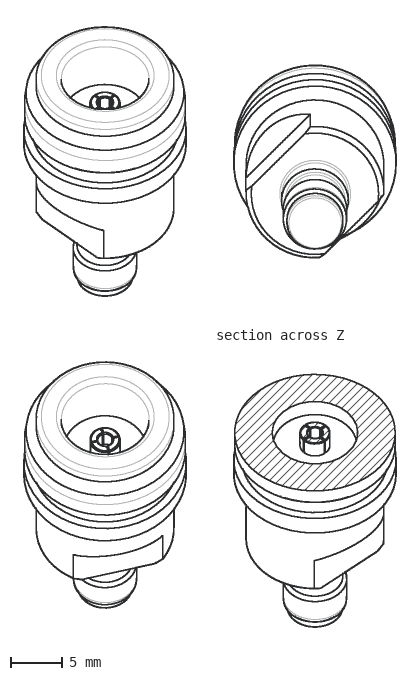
import cadquery as cq
import math

total_height = 28.78

tip_radius = 2.73
tip_rounding = 0.17
collar_radius = 3.1
collar_lip_radius = 3.08
collar_lip_z = 1.18
collar_cylinder_z = 1.6
collar_shoulder_z = 4.12
collar_bevel = collar_radius - tip_radius
shoulder_radius = 3.25
shoulder_bottom_z = 7.05
root_fillet = 0.2

body_radius = 6.73
body_bottom_z = 9.27
body_chamfer = 0.52
flat_half_width = 4.98
flat_top_z = 13.75
flat_runout_angle = 30

flange_radius = 15.85 / 2
flange_cone_z = 18.28
flange_bottom_z = 18.97
flange_top_z = 21.05
groove_radius = 7.15
head_radius = 7.85
head_groove_cone_z = 22.5
head_bottom_z = head_groove_cone_z + head_radius - groove_radius
head_taper_z = 25.05
head_shoulder_radius = 7.7
head_shoulder_z = 26.33
rim_bottom_z = 27.28
rim_rounding = 0.5

bore_mouth_radius = 4.3
bore_floor_radius = 4.1
bore_floor_z = 23.08
bore_mouth_rounding = 0.5

contact_radius = 1.47
contact_top_z = 24.9
contact_chamfer = 0.12
contact_hole_radius = 0.72
contact_slot_width = 0.15
contact_height = contact_top_z - bore_floor_z

arc_mid_ratio = 1 - math.sqrt(0.5)


def make_turned_body():
    """Solid of revolution from the plug tip to the socket rim."""
    tip_mid = tip_rounding * arc_mid_ratio
    root_mid = root_fillet * arc_mid_ratio
    rim_mid = rim_rounding * arc_mid_ratio
    profile = (
        cq.Workplane("XZ")
        .moveTo(0, 0)
        .lineTo(tip_radius - tip_rounding, 0)
        .threePointArc((tip_radius - tip_mid, tip_mid), (tip_radius, tip_rounding))
        .lineTo(tip_radius, collar_lip_z - (collar_lip_radius - tip_radius))
        .lineTo(collar_lip_radius, collar_lip_z)
        .lineTo(collar_radius, collar_cylinder_z)
        .lineTo(collar_radius, collar_shoulder_z)
        .lineTo(tip_radius, collar_shoulder_z + collar_bevel)
        .lineTo(tip_radius, shoulder_bottom_z - root_fillet)
        .threePointArc(
            (tip_radius + root_mid, shoulder_bottom_z - root_mid),
            (tip_radius + root_fillet, shoulder_bottom_z),
        )
        .lineTo(shoulder_radius, shoulder_bottom_z)
        .lineTo(shoulder_radius, body_bottom_z - root_fillet)
        .threePointArc(
            (shoulder_radius + root_mid, body_bottom_z - root_mid),
            (shoulder_radius + root_fillet, body_bottom_z),
        )
        .lineTo(body_radius - body_chamfer, body_bottom_z)
        .lineTo(body_radius, body_bottom_z + body_chamfer)
        .lineTo(body_radius, flange_cone_z)
        .lineTo(flange_radius, flange_bottom_z)
        .lineTo(flange_radius, flange_top_z)
        .lineTo(groove_radius, flange_top_z)
        .lineTo(groove_radius, head_groove_cone_z)
        .lineTo(head_radius, head_bottom_z)
        .lineTo(head_radius, head_taper_z)
        .lineTo(head_shoulder_radius, head_shoulder_z)
        .lineTo(body_radius, rim_bottom_z)
        .lineTo(body_radius, total_height - rim_rounding)
        .threePointArc(
            (body_radius - rim_mid, total_height - rim_mid),
            (body_radius - rim_rounding, total_height),
        )
        .lineTo(0, total_height)
        .close()
    )
    return profile.revolve(360, (0, 0, 0), (0, 1, 0))


def make_bore():
    """Tapered socket cavity with a rounded mouth."""
    mouth_mid = bore_mouth_rounding * arc_mid_ratio
    profile = (
        cq.Workplane("XZ")
        .moveTo(0, bore_floor_z)
        .lineTo(bore_floor_radius, bore_floor_z)
        .lineTo(bore_mouth_radius, total_height - bore_mouth_rounding)
        .threePointArc(
            (bore_mouth_radius + mouth_mid, total_height - mouth_mid),
            (bore_mouth_radius + bore_mouth_rounding, total_height),
        )
        .lineTo(0, total_height)
        .close()
    )
    return profile.revolve(360, (0, 0, 0), (0, 1, 0))


def make_contact():
    """Hollow contact split into four fingers by a cross of slots."""
    contact = (
        cq.Workplane("XY", origin=(0, 0, bore_floor_z))
        .circle(contact_radius)
        .circle(contact_hole_radius)
        .extrude(contact_height)
        .faces(">Z")
        .chamfer(contact_chamfer)
    )
    for angle in (0, 90):
        slot = (
            cq.Workplane("XY", origin=(0, 0, bore_floor_z))
            .transformed(rotate=(0, 0, angle))
            .rect(2 * contact_radius, contact_slot_width)
            .extrude(contact_height)
        )
        contact = contact.cut(slot)
    return contact


def make_flat_cutter(side):
    """Prism that mills one wrench flat, ending in a sloped run-out; side is -1 or +1."""
    reach = flange_radius
    runout_rise = (reach - flat_half_width) * math.tan(math.radians(flat_runout_angle))
    return (
        cq.Workplane("YZ")
        .moveTo(side * flat_half_width, body_bottom_z)
        .lineTo(side * flat_half_width, flat_top_z)
        .lineTo(side * reach, flat_top_z + runout_rise)
        .lineTo(side * reach, body_bottom_z)
        .close()
        .extrude(body_radius, both=True)
    )


result = make_turned_body().cut(make_bore()).union(make_contact())
for side in (-1, 1):
    result = result.cut(make_flat_cutter(side))